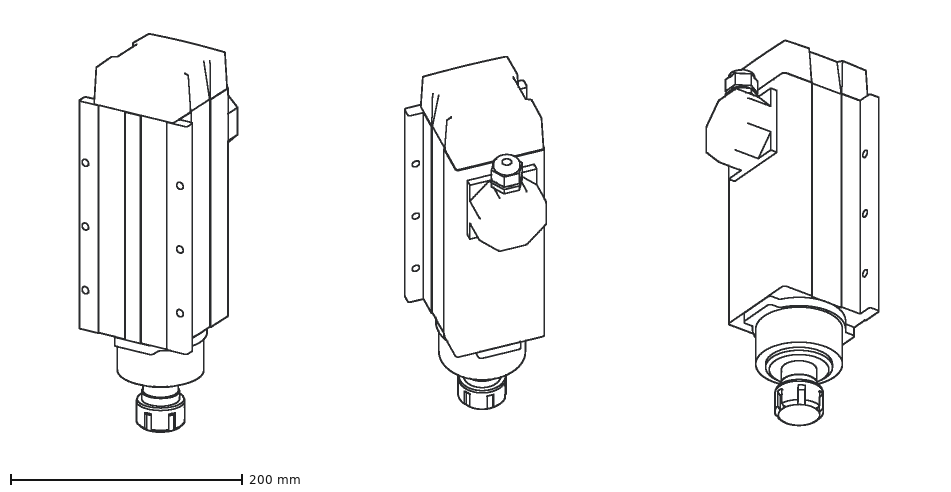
import cadquery as cq
import math


NUT_TOP = 23.8
COLLAR_TOP = 31.7
RING_BOTTOM = 45.5
NOSE_BOTTOM = 51.0
FLANGE_BOTTOM = 86.0
BODY_BOTTOM = 94.5
BODY_TOP = 308.5
COVER_TOP = 344.5
BODY_LENGTH = BODY_TOP - BODY_BOTTOM

PLATE_WIDTH = 110.0
PLATE_THICKNESS = 10.7
PLATE_EDGE_RADIUS = 2.0
MOUNT_FACE_Y = -46.0
BODY_WIDTH = 82.0
BODY_BACK_Y = 46.5
BODY_CORNER_RADIUS = 2.8
SIDE_RECESS_WIDTH = 31.7
SIDE_RECESS_DEPTH = 1.0
MOUNT_GROOVE_INNER_X = 8.0
MOUNT_GROOVE_OUTER_X = 34.8
MOUNT_GROOVE_DEPTH = 1.0
MOUNT_HOLE_DIAMETER = 6.5
MOUNT_HOLE_SPACING_X = 96.0
MOUNT_HOLE_PITCH = 60.0
MOUNT_HOLE_ROWS = 3
LOWEST_MOUNT_HOLE_Z = 132.0

COVER_WIDTH = 81.0
COVER_DEPTH = 90.5
COVER_TAPER = 2.3
COVER_CORNER_RADIUS = 1.7
COVER_RIM_RADIUS = 1.0
CROWN_FLAT_DIAMETER = 60.3
CROWN_FLAT_RADIUS = CROWN_FLAT_DIAMETER / 2
CROWN_SLOPE = 0.06
NOTCH_TOP_WIDTH = 31.0
NOTCH_TOP_FLOOR_X = 34.0
NOTCH_FLARE = 0.5

NOSE_RADIUS = 37.5
FLANGE_RADIUS = 40.3
FLANGE_TAB_WIDTH = 39.3
FLANGE_TAB_CORNER_RADIUS = 3.0
FLANGE_TAB_ROOT_RADIUS = 3.0

RING_RADIUS = 29.0
RING_NOSE_RADIUS = 26.0
RING_BEVEL_HEIGHT = 2.5

SHAFT_DIAMETER = 30.5
SHAFT_RADIUS = SHAFT_DIAMETER / 2
COLLAR_DIAMETER = 32.7
COLLAR_RADIUS = COLLAR_DIAMETER / 2
COLLAR_CHAMFER = 0.7

NUT_RADIUS = 21.0
NUT_TOP_BEVEL_HEIGHT = 2.0
NUT_TOP_BEVEL_WIDTH = 0.7
NUT_NOSE_BEVEL = 3.0
SLOT_COUNT = 6
SLOT_WIDTH = 6.2
SLOT_DEPTH = 3.0
SLOT_TOP = 18.0

BOX_WIDTH = 61.5
BOX_BOTTOM = 233.0
BOX_TOP = 295.0
BOX_FACE_Y = 77.5
BOX_BASE_THICKNESS = 6.5
BOX_CORNER_CUT = 18.3
BOX_RIM_RADIUS = 1.0

GLAND_Y = 61.5
GLAND_HEX_FLATS = 24.5
GLAND_HEX_HEIGHT = 4.8
GLAND_NECK_RADIUS = 10.0
GLAND_NECK_HEIGHT = 2.8
CAP_HEX_HEIGHT = 11.7
CAP_DOME_RADIUS = 11.5
CAP_DOME_HEIGHT = 5.0
CAP_DOME_EDGE_RADIUS = 2.5
CABLE_HOLE_RADIUS = 4.0


def cylinder(radius, bottom, top):
    """Upright cylinder about the shaft axis."""
    return cq.Workplane("XY", origin=(0, 0, bottom)).circle(radius).extrude(top - bottom)


def block(x_min, x_max, y_min, y_max, z_min, z_max):
    """Rectangular block given by its limits."""
    return cq.Workplane("XY").box(
        x_max - x_min, y_max - y_min, z_max - z_min, centered=False
    ).translate((x_min, y_min, z_min))


def make_motor_body():
    """Extruded body with a mounting plate along its -Y side."""
    half_width = BODY_WIDTH / 2
    half_plate = PLATE_WIDTH / 2
    plate_back_y = MOUNT_FACE_Y + PLATE_THICKNESS
    core = block(-half_width, half_width, MOUNT_FACE_Y, BODY_BACK_Y, BODY_BOTTOM, BODY_TOP)
    core = core.edges("|Z and >Y").fillet(BODY_CORNER_RADIUS)
    plate = block(-half_plate, half_plate, MOUNT_FACE_Y, plate_back_y, BODY_BOTTOM, BODY_TOP)
    plate = plate.edges("|Z").fillet(PLATE_EDGE_RADIUS)
    body = core.union(plate)
    mid_z = (BODY_BOTTOM + BODY_TOP) / 2

    for side in (-1, 1):
        side_recess = cq.Workplane("XY").box(2 * SIDE_RECESS_DEPTH, SIDE_RECESS_WIDTH, BODY_LENGTH)
        body = body.cut(side_recess.translate((side * half_width, 0, mid_z)))

        groove_width = MOUNT_GROOVE_OUTER_X - MOUNT_GROOVE_INNER_X
        groove_x = side * (MOUNT_GROOVE_OUTER_X + MOUNT_GROOVE_INNER_X) / 2
        groove = cq.Workplane("XY").box(groove_width, 2 * MOUNT_GROOVE_DEPTH, BODY_LENGTH)
        body = body.cut(groove.translate((groove_x, MOUNT_FACE_Y, mid_z)))

    hole_points = [
        (side * MOUNT_HOLE_SPACING_X / 2, LOWEST_MOUNT_HOLE_Z + row * MOUNT_HOLE_PITCH)
        for side in (-1, 1)
        for row in range(MOUNT_HOLE_ROWS)
    ]
    holes = (
        cq.Workplane("XZ", origin=(0, plate_back_y, 0))
        .pushPoints(hole_points)
        .circle(MOUNT_HOLE_DIAMETER / 2)
        .extrude(PLATE_THICKNESS)
    )
    return body.cut(holes)


def make_cover_crown():
    """Envelope with a flat round top that falls away as a shallow cone."""
    envelope_radius = math.hypot(COVER_WIDTH, COVER_DEPTH)
    rim_z = COVER_TOP - CROWN_SLOPE * (envelope_radius - CROWN_FLAT_RADIUS)
    outline = [
        (0, BODY_TOP),
        (envelope_radius, BODY_TOP),
        (envelope_radius, rim_z),
        (CROWN_FLAT_RADIUS, COVER_TOP),
        (0, COVER_TOP),
    ]
    return cq.Workplane("XZ").polyline(outline).close().revolve(360, (0, 0, 0), (0, 1, 0))


def make_cover_notch():
    """Cutter for the +X side: its floor leans inward from the side recess to the top."""
    outer_x = COVER_WIDTH
    bottom_floor_x = BODY_WIDTH / 2 - SIDE_RECESS_DEPTH

    def section(floor_x, floor_width):
        half_floor = floor_width / 2
        half_mouth = half_floor + NOTCH_FLARE * (outer_x - floor_x)
        return [
            (floor_x, -half_floor),
            (outer_x, -half_mouth),
            (outer_x, half_mouth),
            (floor_x, half_floor),
        ]

    return (
        cq.Workplane("XY", origin=(0, 0, BODY_TOP))
        .polyline(section(bottom_floor_x, SIDE_RECESS_WIDTH))
        .close()
        .workplane(offset=COVER_TOP - BODY_TOP)
        .polyline(section(NOTCH_TOP_FLOOR_X, NOTCH_TOP_WIDTH))
        .close()
        .loft(ruled=True)
    )


def make_rear_cover():
    """Tapered cap on top of the body with a crowned top and a notch on each side."""
    cover = (
        cq.Workplane("XY", origin=(0, 0, BODY_TOP))
        .rect(COVER_WIDTH, COVER_DEPTH)
        .extrude(COVER_TOP - BODY_TOP, taper=COVER_TAPER)
        .edges("not #Z")
        .fillet(COVER_CORNER_RADIUS)
        .intersect(make_cover_crown())
    )
    notch = make_cover_notch()
    cover = cover.cut(notch).cut(notch.mirror("YZ"))
    rim_zone_depth = 3.5
    flat_top_margin = 0.17
    rim_zone = cq.selectors.BoxSelector(
        (-COVER_WIDTH, -COVER_DEPTH, COVER_TOP - rim_zone_depth),
        (COVER_WIDTH, COVER_DEPTH, COVER_TOP - flat_top_margin),
    )
    return cover.edges(rim_zone).fillet(COVER_RIM_RADIUS)


def make_front_flange():
    """Round flange with a flat tab on +Y and -Y, and the bearing nose below it."""
    height = BODY_BOTTOM - FLANGE_BOTTOM
    tabs = (
        cq.Workplane("XY", origin=(0, 0, FLANGE_BOTTOM))
        .rect(FLANGE_TAB_WIDTH, -2 * MOUNT_FACE_Y)
        .extrude(height)
        .edges("|Z")
        .fillet(FLANGE_TAB_CORNER_RADIUS)
    )
    flange = cylinder(FLANGE_RADIUS, FLANGE_BOTTOM, BODY_BOTTOM).union(tabs)
    root_y = math.sqrt(FLANGE_RADIUS**2 - (FLANGE_TAB_WIDTH / 2) ** 2)
    for side in (-1, 1):
        for end in (-1, 1):
            corner = (side * FLANGE_TAB_WIDTH / 2, end * root_y, FLANGE_BOTTOM + height / 2)
            root_edge = cq.selectors.NearestToPointSelector(corner)
            flange = flange.edges(root_edge).fillet(FLANGE_TAB_ROOT_RADIUS)
    return flange.union(cylinder(NOSE_RADIUS, NOSE_BOTTOM, FLANGE_BOTTOM))


def make_labyrinth_ring():
    """Ring around the shaft below the nose, bevelled at its lower edge."""
    bevel_width = RING_RADIUS - RING_NOSE_RADIUS
    ring = cylinder(RING_RADIUS, RING_BOTTOM, NOSE_BOTTOM)
    ring = ring.faces("<Z").chamfer(RING_BEVEL_HEIGHT, bevel_width)
    return ring.cut(cylinder(SHAFT_RADIUS, RING_BOTTOM, NOSE_BOTTOM))


def make_shaft():
    """Shaft between the nose and the nut, with a wider collar on the nut."""
    collar = cylinder(COLLAR_RADIUS, NUT_TOP, COLLAR_TOP).faces(">Z").chamfer(COLLAR_CHAMFER)
    return collar.union(cylinder(SHAFT_RADIUS, NUT_TOP, NOSE_BOTTOM))


def make_collet_nut():
    """Round nut with wrench slots that are open at the nose and slope out at the top."""
    outline = [
        (0, 0),
        (NUT_RADIUS - NUT_NOSE_BEVEL, 0),
        (NUT_RADIUS, NUT_NOSE_BEVEL),
        (NUT_RADIUS, NUT_TOP - NUT_TOP_BEVEL_HEIGHT),
        (NUT_RADIUS - NUT_TOP_BEVEL_WIDTH, NUT_TOP),
        (0, NUT_TOP),
    ]
    nut = cq.Workplane("XZ").polyline(outline).close().revolve(360, (0, 0, 0), (0, 1, 0))

    floor_radius = NUT_RADIUS - SLOT_DEPTH
    slot_outline = [
        (floor_radius, 0),
        (NUT_RADIUS + SLOT_DEPTH, 0),
        (NUT_RADIUS + SLOT_DEPTH, SLOT_TOP),
        (NUT_RADIUS, SLOT_TOP),
        (floor_radius, SLOT_TOP - SLOT_DEPTH),
    ]
    slot = cq.Workplane("XZ").polyline(slot_outline).close().extrude(SLOT_WIDTH / 2, both=True)
    for index in range(SLOT_COUNT):
        angle = 90 + index * 360 / SLOT_COUNT
        nut = nut.cut(slot.rotate((0, 0, 0), (0, 0, 1), angle))
    return nut


def make_terminal_box():
    """Square base on the back of the body carrying an octagonal housing."""
    half_width = BOX_WIDTH / 2
    base_y = BODY_BACK_Y + BOX_BASE_THICKNESS
    base = block(-half_width, half_width, BODY_BACK_Y, base_y, BOX_BOTTOM, BOX_TOP)
    housing = block(-half_width, half_width, base_y, BOX_FACE_Y, BOX_BOTTOM, BOX_TOP)
    housing = housing.edges("|Y").chamfer(BOX_CORNER_CUT)
    housing = housing.faces(">Y").edges().fillet(BOX_RIM_RADIUS)
    return base.union(housing)


def gland_cylinder(radius, bottom, height):
    """Upright cylinder about the gland axis."""
    return cq.Workplane("XY", origin=(0, GLAND_Y, bottom)).circle(radius).extrude(height)


def gland_hexagon(bottom, height):
    """Upright hexagon about the gland axis with flats on +Y and -Y."""
    corner_diameter = GLAND_HEX_FLATS / math.cos(math.pi / 6)
    return cq.Workplane("XY", origin=(0, GLAND_Y, bottom)).polygon(6, corner_diameter).extrude(height)


def make_gland_body():
    """Hexagonal foot on the terminal box with a round neck."""
    foot = gland_hexagon(BOX_TOP, GLAND_HEX_HEIGHT)
    return foot.union(gland_cylinder(GLAND_NECK_RADIUS, BOX_TOP + GLAND_HEX_HEIGHT, GLAND_NECK_HEIGHT))


def make_gland_cap_nut():
    """Hexagonal cap nut with a rounded top and a cable hole."""
    bottom = BOX_TOP + GLAND_HEX_HEIGHT + GLAND_NECK_HEIGHT
    dome = gland_cylinder(CAP_DOME_RADIUS, bottom + CAP_HEX_HEIGHT, CAP_DOME_HEIGHT)
    dome = dome.faces(">Z").edges().fillet(CAP_DOME_EDGE_RADIUS)
    cap_nut = gland_hexagon(bottom, CAP_HEX_HEIGHT).union(dome)
    return cap_nut.cut(gland_cylinder(CABLE_HOLE_RADIUS, bottom, CAP_HEX_HEIGHT + CAP_DOME_HEIGHT))


motor_body = make_motor_body()
rear_cover = make_rear_cover()
front_flange = make_front_flange()
labyrinth_ring = make_labyrinth_ring()
shaft = make_shaft()
collet_nut = make_collet_nut()
terminal_box = make_terminal_box()
gland_body = make_gland_body()
gland_cap_nut = make_gland_cap_nut()

result = cq.Compound.makeCompound([
    motor_body.val(),
    rear_cover.val(),
    front_flange.val(),
    labyrinth_ring.val(),
    shaft.val(),
    collet_nut.val(),
    terminal_box.val(),
    gland_body.val(),
    gland_cap_nut.val(),
])